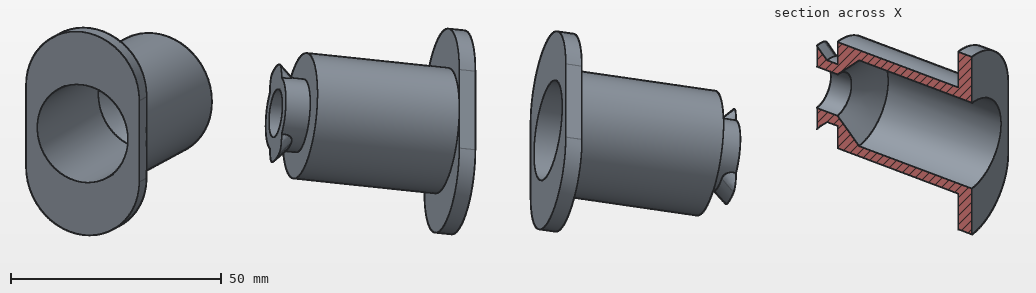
import cadquery as cq

flange_width = 30.0
flange_height = 50.0
flange_thickness = 4.0

barrel_diameter = flange_width
barrel_end = 39.0
neck_diameter = 17.5
neck_radius = neck_diameter / 2
overall_length = 45.0

bore_diameter = 24.0
hole_diameter = 11.5
cone_depth = (bore_diameter - hole_diameter) / 2
cone_end = barrel_end
cone_start = cone_end - cone_depth

tab_width = 10.0
tab_height = 3.0
tab_start = overall_length - tab_height
tab_corner_radius = 2.5


def cylinder(diameter, start, end):
    """Solid cylinder along +Y between two stations."""
    plane = cq.Workplane("XZ", origin=(0, start, 0))
    return plane.circle(diameter / 2).extrude(start - end)


def make_flange():
    plate = cq.Workplane("XZ").slot2D(flange_height, flange_width, 90)
    return plate.extrude(-flange_thickness)


def make_bore():
    """Solid of revolution removed from the inside of the part."""
    bore_radius = bore_diameter / 2
    hole_radius = hole_diameter / 2
    profile = (
        cq.Workplane("XY")
        .moveTo(0, 0)
        .lineTo(bore_radius, 0)
        .lineTo(bore_radius, cone_start)
        .lineTo(hole_radius, cone_end)
        .lineTo(hole_radius, overall_length)
        .lineTo(0, overall_length)
        .close()
    )
    return profile.revolve(360, (0, 0, 0), (0, 1, 0))


def make_tabs():
    """Flared lips on the +Z and -Z sides of the neck, before their corners are rounded."""
    flare = (
        cq.Workplane("XY")
        .moveTo(neck_radius, tab_start)
        .lineTo(neck_radius + tab_height, overall_length)
        .lineTo(neck_radius, overall_length)
        .close()
        .revolve(360, (0, 0, 0), (0, 1, 0))
    )
    slab = cq.Workplane("XY").box(tab_width, 3 * overall_length, flange_height)
    return flare.intersect(slab)


def make_neck_with_tabs():
    neck = cylinder(neck_diameter, barrel_end, overall_length).union(make_tabs())
    return neck.edges("%HYPERBOLA").fillet(tab_corner_radius)


body = make_flange()
body = body.union(cylinder(barrel_diameter, 0, barrel_end))
body = body.union(make_neck_with_tabs())
result = body.cut(make_bore())